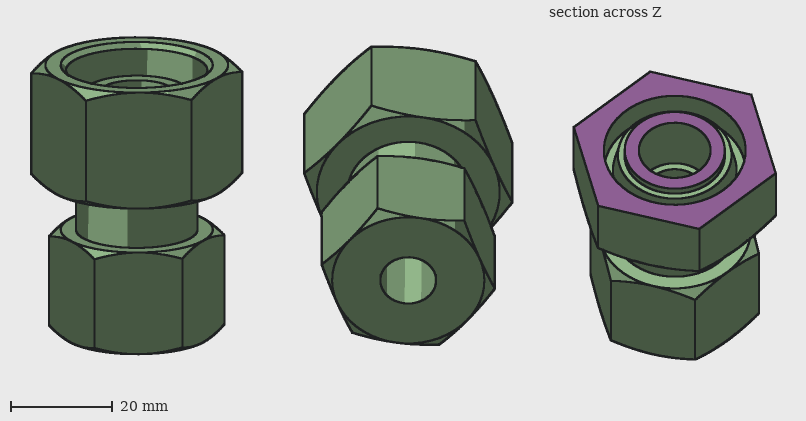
import cadquery as cq
import math

total_height = 55.0
lower_hex_height = 21.0
upper_nut_height = 24.0
upper_nut_bottom = total_height - upper_nut_height

lower_hex_flats = 30.0
upper_nut_flats = 36.0
hex_chamfer_angle = 30.0

neck_diameter = 24.0
nose_tip_diameter = 20.0
nose_base_diameter = 24.35
nose_half_angle = 12.0
nose_top = total_height - 5.4
groove_upper_diameter = 21.2
groove_lower_diameter = 22.4
groove_floor_diameter = 19.8

nut_bore_diameter = 27.85
nut_mouth_diameter = 30.0
through_diameter = 11.0
counterbore_diameter = 14.0
counterbore_depth = 16.5


def chamfered_hex(flats, height, bottom):
    """Hexagonal prism whose corners are turned down to a cone at both ends."""
    corner_diameter = flats / math.cos(math.radians(30))
    flat_radius = flats / 2
    corner_radius = corner_diameter / 2
    drop = (corner_radius - flat_radius) * math.tan(math.radians(hex_chamfer_angle))
    prism = (
        cq.Workplane("XY")
        .polygon(6, corner_diameter)
        .extrude(height)
        .rotate((0, 0, 0), (0, 0, 1), 30)
    )
    envelope = (
        cq.Workplane("XZ")
        .moveTo(0, 0)
        .lineTo(flat_radius, 0)
        .lineTo(corner_radius, drop)
        .lineTo(corner_radius, height - drop)
        .lineTo(flat_radius, height)
        .lineTo(0, height)
        .close()
        .revolve(360, (0, 0, 0), (0, 1, 0))
    )
    return prism.intersect(envelope).translate((0, 0, bottom))


def cylinder(diameter, bottom, top):
    """Vertical cylinder on the part axis between two heights."""
    return cq.Workplane("XY").workplane(offset=bottom).circle(diameter / 2).extrude(top - bottom)


def nose_height(diameter):
    """Height at which the sealing cone has the given diameter."""
    radius_growth = (diameter - nose_tip_diameter) / 2
    return nose_top - radius_growth / math.tan(math.radians(nose_half_angle))


def neck_and_nose():
    """Neck from the lower hexagon up to the grooved sealing cone."""
    nose_base = nose_height(nose_base_diameter)
    groove_upper = nose_height(groove_upper_diameter)
    groove_lower = nose_height(groove_lower_diameter)
    return (
        cq.Workplane("XZ")
        .moveTo(0, lower_hex_height)
        .lineTo(neck_diameter / 2, lower_hex_height)
        .lineTo(neck_diameter / 2, nose_base)
        .lineTo(nose_base_diameter / 2, nose_base)
        .lineTo(groove_lower_diameter / 2, groove_lower)
        .lineTo(groove_floor_diameter / 2, groove_lower)
        .lineTo(groove_floor_diameter / 2, groove_upper)
        .lineTo(groove_upper_diameter / 2, groove_upper)
        .lineTo(nose_tip_diameter / 2, nose_top)
        .lineTo(0, nose_top)
        .close()
        .revolve(360, (0, 0, 0), (0, 1, 0))
    )


def upper_nut():
    """Upper hexagon with its wide bore and 45 degree mouth chamfer; the bore ends at the nose base."""
    nut_bore_floor = nose_height(nose_base_diameter)
    mouth_chamfer = (nut_mouth_diameter - nut_bore_diameter) / 2
    nut = chamfered_hex(upper_nut_flats, upper_nut_height, upper_nut_bottom)
    bore = cylinder(nut_bore_diameter, nut_bore_floor, total_height)
    mouth = (
        cq.Workplane("XY")
        .workplane(offset=total_height - mouth_chamfer)
        .circle(nut_bore_diameter / 2)
        .workplane(offset=mouth_chamfer)
        .circle(nut_mouth_diameter / 2)
        .loft()
    )
    return nut.cut(bore).cut(mouth)


lower_hex = chamfered_hex(lower_hex_flats, lower_hex_height, 0)
body = lower_hex.union(neck_and_nose()).union(upper_nut())

through_bore = cylinder(through_diameter, 0, total_height)
counterbore = cylinder(counterbore_diameter, nose_top - counterbore_depth, nose_top)
result = body.cut(through_bore).cut(counterbore)